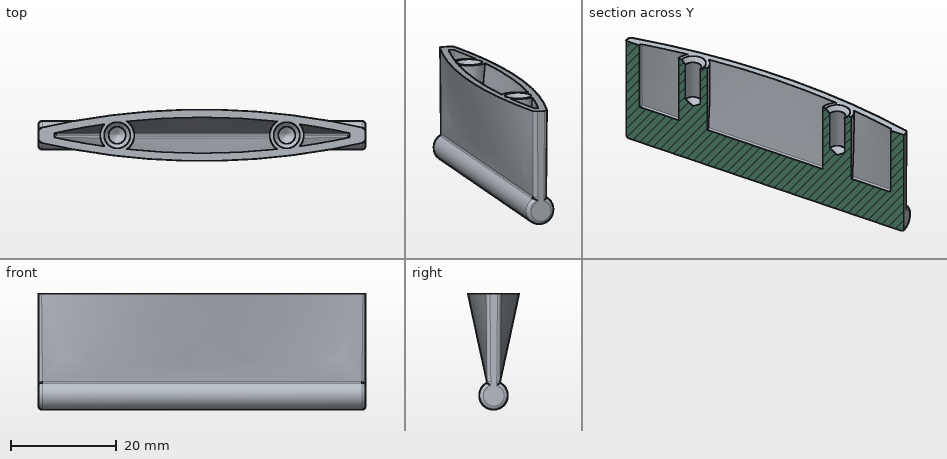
import cadquery as cq
import math

length = 62.0
top_width = 9.8
height = 22.0

rod_radius = 2.7
end_round = 0.75

blade_root_width = 2.6
blade_base = 5.45
root_fillet = 0.4

cavity_length = 55.9
cavity_width = 6.8
groove_width = 0.8
cavity_floor = 8.05
groove_round = 0.3

boss_spacing = 32.1
boss_radius = 3.2
hole_radius = 1.6
countersink_radius = 2.5
hole_depth = 8.7
tip_half_angle = math.radians(59)


def lens_loft(span, end_width, middle_width, bottom):
    """Solid from a straight strip at `bottom` to a two-arc outline at the top face."""
    half_span = span / 2
    half_end = end_width / 2
    half_middle = middle_width / 2
    strip = cq.Workplane("XY", origin=(0, 0, bottom)).rect(span, end_width).wires().val()
    lens = (
        cq.Workplane("XY", origin=(0, 0, height))
        .moveTo(-half_span, -half_end)
        .threePointArc((0, -half_middle), (half_span, -half_end))
        .lineTo(half_span, half_end)
        .threePointArc((0, half_middle), (-half_span, half_end))
        .close()
        .wires()
        .val()
    )
    return cq.Workplane(cq.Solid.makeLoft([strip, lens], True))


def make_rod():
    return (
        cq.Workplane("YZ", origin=(-length / 2, 0, 0))
        .center(0, rod_radius)
        .circle(rod_radius)
        .extrude(length)
        .faces("<X or >X")
        .edges()
        .fillet(end_round)
    )


def make_blade():
    upper = lens_loft(length, blade_root_width, top_width, blade_base)
    upper = upper.faces("<X or >X").edges("not (<Z or >Z)").fillet(end_round)
    root = (
        cq.Workplane("XY", origin=(0, 0, rod_radius))
        .rect(length, blade_root_width)
        .extrude(blade_base - rod_radius)
        .edges("|Z")
        .fillet(end_round)
    )
    return upper.union(root)


def make_root_fillets():
    """Concave strips, tangent to the rod and to both faces of the blade root."""
    half_root = blade_root_width / 2
    center_y = half_root + root_fillet
    reach = rod_radius + root_fillet
    center_z = rod_radius + math.sqrt(reach**2 - center_y**2)
    rod_y = center_y * rod_radius / reach
    rod_z = rod_radius + (center_z - rod_radius) * rod_radius / reach
    mid_angle = (math.pi + math.atan2(rod_z - center_z, rod_y - center_y) % (2 * math.pi)) / 2
    mid_y = center_y + root_fillet * math.cos(mid_angle)
    mid_z = center_z + root_fillet * math.sin(mid_angle)
    strip = (
        cq.Workplane("YZ", origin=(end_round - length / 2, 0, 0))
        .moveTo(half_root, center_z)
        .threePointArc((mid_y, mid_z), (rod_y, rod_z))
        .lineTo(0, rod_radius)
        .lineTo(0, center_z)
        .close()
        .extrude(length - 2 * end_round)
    )
    return strip.union(strip.mirror("XZ"))


def make_cavity():
    cavity = lens_loft(cavity_length, groove_width, cavity_width, cavity_floor)
    cavity = cavity.faces("<X or >X").edges("not (<Z or >Z)").fillet(groove_round)
    return cavity.faces("<Z").edges().fillet(groove_round)


def make_hole():
    """Countersunk blind hole with a drill point, revolved about its own axis."""
    countersink_depth = countersink_radius - hole_radius
    tip_depth = hole_depth + hole_radius / math.tan(tip_half_angle)
    return (
        cq.Workplane("XZ")
        .lineTo(countersink_radius, 0)
        .lineTo(hole_radius, -countersink_depth)
        .lineTo(hole_radius, -hole_depth)
        .lineTo(0, -tip_depth)
        .close()
        .revolve(360, (0, 0, 0), (0, 1, 0))
        .translate((0, 0, height))
    )


blade = make_blade()
cavity = make_cavity()
hole = make_hole()
boss_places = [(-boss_spacing / 2, 0), (boss_spacing / 2, 0)]

bosses = cq.Workplane("XY").pushPoints(boss_places).circle(boss_radius).extrude(height)
result = blade.union(make_rod()).union(make_root_fillets()).cut(cavity.cut(bosses))
for x, y in boss_places:
    result = result.cut(hole.translate((x, y, 0)))